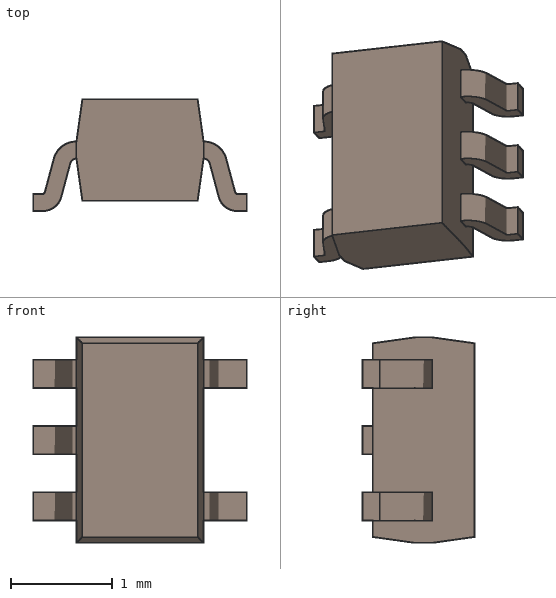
import cadquery as cq
import math


body_width = 1.25
body_length = 2.02
body_height = 1.0
standoff = 0.1
draft_angle = 8.0

span = 2.1
pitch = 0.65
lead_width = 0.28
lead_thickness = 0.17
shoulder_inner_radius = 0.06
heel_inner_radius = 0.02
leg_tilt = 15.0

taper_height = (body_height - lead_thickness) / 2
band_bottom = standoff + taper_height
band_top = band_bottom + lead_thickness

left_lead_places = (-pitch, 0, pitch)
right_lead_places = (-pitch, pitch)


def make_body():
    """Straight band with a drafted block above and below it."""
    lower = (
        cq.Workplane("XZ", origin=(0, band_bottom, 0))
        .rect(body_width, body_length)
        .extrude(taper_height, taper=draft_angle)
    )
    band = (
        cq.Workplane("XZ", origin=(0, band_top, 0))
        .rect(body_width, body_length)
        .extrude(lead_thickness)
    )
    upper = (
        cq.Workplane("XZ", origin=(0, band_top, 0))
        .rect(body_width, body_length)
        .extrude(-taper_height, taper=draft_angle)
    )
    return band.union(lower).union(upper)


def make_lead(side, place):
    """Gull-wing lead butted to the body band; side is +1 for +X, -1 for -X."""
    shoulder_outer_radius = shoulder_inner_radius + lead_thickness
    heel_outer_radius = heel_inner_radius + lead_thickness
    bend_angle = math.radians(90 - leg_tilt)

    bend_sum = shoulder_outer_radius + heel_inner_radius
    leg_rise = band_top - lead_thickness - bend_sum * (1 - math.cos(bend_angle))
    leg_run = leg_rise / math.tan(bend_angle)

    wall_x = body_width / 2
    heel_x = wall_x + bend_sum * math.sin(bend_angle) + leg_run
    toe_x = span / 2
    shoulder_y = band_top - shoulder_outer_radius
    heel_y = heel_outer_radius

    def on_shoulder(radius, angle):
        x = wall_x + radius * math.sin(angle)
        return (side * x, shoulder_y + radius * math.cos(angle))

    def on_heel(radius, angle):
        x = heel_x - radius * math.sin(angle)
        return (side * x, heel_y - radius * math.cos(angle))

    half_bend = bend_angle / 2
    profile = (
        cq.Workplane("XY", origin=(0, 0, place - lead_width / 2))
        .moveTo(side * wall_x, band_top)
        .threePointArc(
            on_shoulder(shoulder_outer_radius, half_bend),
            on_shoulder(shoulder_outer_radius, bend_angle),
        )
        .lineTo(*on_heel(heel_inner_radius, bend_angle))
        .threePointArc(on_heel(heel_inner_radius, half_bend), on_heel(heel_inner_radius, 0))
        .lineTo(side * toe_x, lead_thickness)
        .lineTo(side * toe_x, 0)
        .lineTo(side * heel_x, 0)
        .threePointArc(
            on_heel(heel_outer_radius, half_bend),
            on_heel(heel_outer_radius, bend_angle),
        )
        .lineTo(*on_shoulder(shoulder_inner_radius, bend_angle))
        .threePointArc(
            on_shoulder(shoulder_inner_radius, half_bend),
            on_shoulder(shoulder_inner_radius, 0),
        )
        .close()
    )
    return profile.extrude(lead_width)


body = make_body()

leads = []
for place in left_lead_places:
    leads.append(make_lead(-1, place))
for place in right_lead_places:
    leads.append(make_lead(1, place))

result = cq.Compound.makeCompound([body.val(), *[lead.val() for lead in leads]])